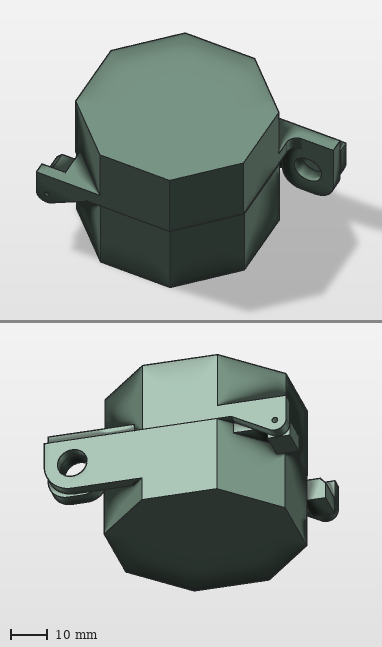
import cadquery as cq
import math

OCTAGON_WIDTH = 50.9
LID_HEIGHT = 20.0
BASE_HEIGHT = 22.0
BASE_SHIFT = 0.2
HALF_WIDTH = OCTAGON_WIDTH / 2

HINGE_LEFT = -29.8
ARM_THICKNESS = 3.4
ARM_TOP = 4.1
ARM_ROUND_RADIUS = 3.1
PIVOT_Z = -3.1
PIVOT_X = HINGE_LEFT + ARM_ROUND_RADIUS
PIVOT_DIAMETER = 1.6
PIVOT_DIMPLE_DEPTH = 0.8
ARM_SLOPE_END_X = -14.4
NOTCH_RIGHT = -22.75
ARM_INNER_Y = HALF_WIDTH - ARM_THICKNESS

KNUCKLE_GAP = 0.2
KNUCKLE_WIDTH = 8.85
KNUCKLE_BOTTOM = -6.3
KNUCKLE_RIGHT = -23.55
KNUCKLE_STEP_Z = -3.05
KNUCKLE_CHAMFER_X = 1.5
KNUCKLE_CHAMFER_Z = 1.65
KNUCKLE_OUTER_Y = ARM_INNER_Y - KNUCKLE_GAP

LOCK_X = 30.4
LOCK_Z = -7.3
LOCK_DIAMETER = 8.25
BASE_TAB_RADIUS = 7.9
BASE_TAB_THICKNESS = 3.2
LID_TAB_THICKNESS = 4.1
LID_TAB_HALF_WIDTH = 7.7
LID_TAB_TOP = 3.9
LID_TAB_BOTTOM = -15.85
LID_TAB_CORNER_RADIUS = 5.6
FLANGE_FILLET = 3.0
LID_TAB_BACK_Y = HALF_WIDTH - BASE_TAB_THICKNESS
LID_TAB_FRONT_Y = LID_TAB_BACK_Y - LID_TAB_THICKNESS
LID_TAB_RIGHT = LOCK_X + LID_TAB_HALF_WIDTH


def octagon(center_x, bottom, height):
    """Upright octagonal prism with flats facing X and Y."""
    corner_diameter = OCTAGON_WIDTH / math.cos(math.pi / 8)
    prism = cq.Workplane("XY").polygon(8, corner_diameter).extrude(height)
    return prism.rotate((0, 0, 0), (0, 0, 1), 22.5).translate((center_x, 0, bottom))


def profile_plane(y):
    """XZ sketch plane at the given y; positive extrusion runs towards -Y."""
    return cq.Workplane("XZ", origin=(0, y, 0))


def round_point(angle):
    """Point (x, z) on the rounded end of a hinge arm."""
    x = PIVOT_X + ARM_ROUND_RADIUS * math.cos(angle)
    return x, PIVOT_Z + ARM_ROUND_RADIUS * math.sin(angle)


def hinge_arm():
    """Arm at +Y, with its sloped underside tangent to its round end and a conical pivot dimple."""
    run = ARM_SLOPE_END_X - PIVOT_X
    rise = -PIVOT_Z
    slope = math.atan2(rise, run) + math.asin(ARM_ROUND_RADIUS / math.hypot(run, rise))
    tangent_angle = slope - math.pi / 2
    middle_angle = (tangent_angle - math.pi) / 2
    arm = (
        profile_plane(HALF_WIDTH)
        .moveTo(HINGE_LEFT, ARM_TOP)
        .lineTo(HINGE_LEFT, PIVOT_Z)
        .threePointArc(round_point(middle_angle), round_point(tangent_angle))
        .lineTo(ARM_SLOPE_END_X, 0)
        .lineTo(0, 0)
        .lineTo(0, ARM_TOP)
        .close()
        .extrude(ARM_THICKNESS)
    )
    web = (
        cq.Workplane("XY")
        .moveTo(NOTCH_RIGHT, 0)
        .lineTo(NOTCH_RIGHT, HALF_WIDTH)
        .lineTo(0, HALF_WIDTH)
        .lineTo(0, 0)
        .close()
        .extrude(ARM_TOP)
    )
    pivot_dimple = cq.Workplane(
        cq.Solid.makeCone(
            PIVOT_DIAMETER / 2,
            0,
            PIVOT_DIMPLE_DEPTH,
            pnt=cq.Vector(PIVOT_X, HALF_WIDTH, PIVOT_Z),
            dir=cq.Vector(0, -1, 0),
        )
    )
    return arm.union(web).cut(pivot_dimple)


def hinge_knuckle():
    """Stepped block at +Y that reaches from the base out beside the hinge arm."""
    return (
        profile_plane(KNUCKLE_OUTER_Y)
        .moveTo(HINGE_LEFT + KNUCKLE_CHAMFER_X, 0)
        .lineTo(HINGE_LEFT, -KNUCKLE_CHAMFER_Z)
        .lineTo(HINGE_LEFT, KNUCKLE_BOTTOM)
        .lineTo(KNUCKLE_RIGHT, KNUCKLE_BOTTOM)
        .lineTo(KNUCKLE_RIGHT, KNUCKLE_STEP_Z)
        .lineTo(0, KNUCKLE_STEP_Z)
        .lineTo(0, 0)
        .close()
        .extrude(KNUCKLE_WIDTH)
    )


def lock_hole():
    return (
        profile_plane(HALF_WIDTH)
        .center(LOCK_X, LOCK_Z)
        .circle(LOCK_DIAMETER / 2)
        .extrude(BASE_TAB_THICKNESS + LID_TAB_THICKNESS)
    )


def lid_lock_tab():
    """Hanging tab with rounded lower corners, carried by a flange that fills the octagon corner."""
    tab = (
        profile_plane(LID_TAB_BACK_Y)
        .moveTo(LOCK_X, (LID_TAB_TOP + LID_TAB_BOTTOM) / 2)
        .rect(2 * LID_TAB_HALF_WIDTH, LID_TAB_TOP - LID_TAB_BOTTOM)
        .extrude(LID_TAB_THICKNESS)
        .edges("|Y and <Z")
        .fillet(LID_TAB_CORNER_RADIUS)
    )
    flange = (
        cq.Workplane("XY")
        .moveTo(0, 0)
        .lineTo(HALF_WIDTH, 0)
        .lineTo(HALF_WIDTH, LID_TAB_FRONT_Y - FLANGE_FILLET)
        .radiusArc((HALF_WIDTH + FLANGE_FILLET, LID_TAB_FRONT_Y), FLANGE_FILLET)
        .lineTo(LID_TAB_RIGHT, LID_TAB_FRONT_Y)
        .lineTo(LID_TAB_RIGHT, LID_TAB_BACK_Y)
        .lineTo(0, LID_TAB_BACK_Y)
        .close()
        .extrude(LID_TAB_TOP)
    )
    return tab.union(flange).cut(lock_hole())


def base_lock_tab():
    """Plate behind the lid tab, rounded around the lock hole."""
    arc_offset = BASE_TAB_RADIUS * math.sqrt(0.5)
    tab_bottom = LOCK_Z - BASE_TAB_RADIUS
    tab = (
        profile_plane(HALF_WIDTH)
        .moveTo(0, 0)
        .lineTo(LOCK_X + BASE_TAB_RADIUS, 0)
        .lineTo(LOCK_X + BASE_TAB_RADIUS, LOCK_Z)
        .threePointArc((LOCK_X + arc_offset, LOCK_Z - arc_offset), (LOCK_X, tab_bottom))
        .lineTo(0, tab_bottom)
        .close()
        .extrude(BASE_TAB_THICKNESS)
    )
    return tab.cut(lock_hole())


def make_lid():
    lid = octagon(0, 0, LID_HEIGHT).union(lid_lock_tab())
    arm = hinge_arm()
    for side in (arm, arm.mirror("XZ")):
        lid = lid.union(side)
    return lid


def make_base():
    base = octagon(BASE_SHIFT, -BASE_HEIGHT, BASE_HEIGHT).union(base_lock_tab())
    knuckle = hinge_knuckle()
    for side in (knuckle, knuckle.mirror("XZ")):
        base = base.union(side)
    return base


lid = make_lid()
base = make_base()
result = cq.Compound.makeCompound([lid.val(), base.val()])